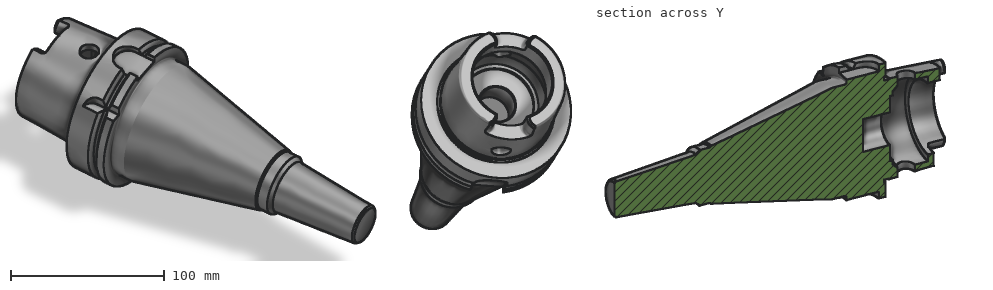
import cadquery as cq
import math

SHANK_FRONT = -50.0
FLANGE_END = 29.0
COLLAR_END = 39.5
CONE_END = 128.7
NECK_START = 129.7
NECK_END = 137.2
NOSE_START = 140.0
NOSE_END = 200.0

GAUGE_RADIUS = 37.9
SHANK_TAPER = 1 / 20
SHANK_EDGE_FILLET = 1.8
RELIEF_WIDTH = 2.4
RELIEF_RADIUS = 37.2
FACE_GROOVE_RADIUS = 39.2
FACE_GROOVE_DEPTH = 1.0

FLANGE_RADIUS = 50.0
V_CENTER = 20.0
V_HALF_WIDTH = 3.3
V_BOTTOM_HALF_WIDTH = 1.2
V_FLANK_ANGLE = 30.0
V_DEPTH = (V_HALF_WIDTH - V_BOTTOM_HALF_WIDTH) / math.tan(math.radians(V_FLANK_ANGLE))

COLLAR_RADIUS = 41.75
COLLAR_FILLET = 1.1
CONE_END_RADIUS = 21.8
NECK_RADIUS = 20.85
NOSE_END_RADIUS = 13.5
NOSE_ANGLE = 4.5
NOSE_CHAMFER_LENGTH = 1.4
NOSE_CHAMFER_DEPTH = 1.0
NOSE_TAPER = math.tan(math.radians(NOSE_ANGLE))
NOSE_START_RADIUS = NOSE_END_RADIUS + (NOSE_END - NOSE_START) * NOSE_TAPER

BORE_RADIUS = 26.5
BORE_CHAMFER = 0.9
BORE_LIP_LENGTH = 19.0
BORE_LIP_END = SHANK_FRONT + BORE_LIP_LENGTH
CLAMP_RADIUS = 31.5
CLAMP_END = -9.8
SHOULDER_RADIUS = 27.0
SHOULDER_X = CLAMP_END + CLAMP_RADIUS - SHOULDER_RADIUS
FLOOR_RADIUS = 24.1
FLOOR_RECESS = 2.0
FLOOR_X = SHOULDER_X + FLOOR_RECESS
TUBE_HOLE_RADIUS = 12.0
TUBE_HOLE_CHAMFER = 0.5
TUBE_HOLE_DEPTH = 20.0

CROSS_HOLE_X = -15.2
CROSS_HOLE_RADIUS = 6.3

KEYWAY_DEPTH_TOP = 10.0
KEYWAY_DEPTH_BOTTOM = 14.5
KEYWAY_HALF_WIDTH = 10.0
KEYWAY_LOBE_RADIUS = 7.4
KEYWAY_LOBE_BASE = 25.2
KEYWAY_LOBE_Y = KEYWAY_HALF_WIDTH + KEYWAY_LOBE_RADIUS
KEYWAY_ROOT = 20.0
KEYWAY_FILLET = 2.5
KEYWAY_CHAMFER = 1.4

SLOT_WIDTH_TOP = 20.0
SLOT_WIDTH_BOTTOM = 22.0
SLOT_START = 5.1
SLOT_FLOOR = 45.0
NOTCH_CORNER = 32.0
NOTCH_RADIUS = 8.0


def shank_radius(x):
    """Radius of the taper at position x."""
    return GAUGE_RADIUS + SHANK_TAPER * x


def revolve_about_x(profile):
    return profile.close().revolve(360, (0, 0, 0), (1, 0, 0))


def turned_body():
    """Outer turned shape, with the relief behind the taper and the V groove."""
    v_bottom = FLANGE_RADIUS - V_DEPTH
    chamfer_radius = NOSE_END_RADIUS + NOSE_CHAMFER_LENGTH * NOSE_TAPER
    profile = (
        cq.Workplane("XY")
        .moveTo(SHANK_FRONT, 0)
        .lineTo(SHANK_FRONT, shank_radius(SHANK_FRONT))
        .lineTo(-RELIEF_WIDTH, shank_radius(-RELIEF_WIDTH))
        .lineTo(-RELIEF_WIDTH, RELIEF_RADIUS)
        .lineTo(FACE_GROOVE_DEPTH, RELIEF_RADIUS)
        .lineTo(FACE_GROOVE_DEPTH, FACE_GROOVE_RADIUS)
        .lineTo(0, FACE_GROOVE_RADIUS)
        .lineTo(0, FLANGE_RADIUS)
        .lineTo(V_CENTER - V_HALF_WIDTH, FLANGE_RADIUS)
        .lineTo(V_CENTER - V_BOTTOM_HALF_WIDTH, v_bottom)
        .lineTo(V_CENTER + V_BOTTOM_HALF_WIDTH, v_bottom)
        .lineTo(V_CENTER + V_HALF_WIDTH, FLANGE_RADIUS)
        .lineTo(FLANGE_END, FLANGE_RADIUS)
        .lineTo(FLANGE_END, COLLAR_RADIUS + COLLAR_FILLET)
        .radiusArc((FLANGE_END + COLLAR_FILLET, COLLAR_RADIUS), -COLLAR_FILLET)
        .lineTo(COLLAR_END, COLLAR_RADIUS)
        .lineTo(CONE_END, CONE_END_RADIUS)
        .lineTo(NECK_START, NECK_RADIUS)
        .lineTo(NECK_END, NECK_RADIUS)
        .lineTo(NOSE_START, NOSE_START_RADIUS)
        .lineTo(NOSE_END - NOSE_CHAMFER_LENGTH, chamfer_radius)
        .lineTo(NOSE_END, NOSE_END_RADIUS - NOSE_CHAMFER_DEPTH)
        .lineTo(NOSE_END, 0)
    )
    body = revolve_about_x(profile)
    return body.faces("<X").edges().fillet(SHANK_EDGE_FILLET)


def clamping_bore():
    """Stepped bore: front lip, wider clamping chamber, recessed floor and coolant tube hole."""
    hole_end = FLOOR_X + TUBE_HOLE_DEPTH
    profile = (
        cq.Workplane("XY")
        .moveTo(SHANK_FRONT, 0)
        .lineTo(SHANK_FRONT, BORE_RADIUS + BORE_CHAMFER)
        .lineTo(SHANK_FRONT + BORE_CHAMFER, BORE_RADIUS)
        .lineTo(BORE_LIP_END, BORE_RADIUS)
        .lineTo(BORE_LIP_END, CLAMP_RADIUS)
        .lineTo(CLAMP_END, CLAMP_RADIUS)
        .lineTo(SHOULDER_X, SHOULDER_RADIUS)
        .lineTo(SHOULDER_X, FLOOR_RADIUS)
        .lineTo(FLOOR_X, FLOOR_RADIUS)
        .lineTo(FLOOR_X, TUBE_HOLE_RADIUS + TUBE_HOLE_CHAMFER)
        .lineTo(FLOOR_X + TUBE_HOLE_CHAMFER, TUBE_HOLE_RADIUS)
        .lineTo(hole_end, TUBE_HOLE_RADIUS)
        .lineTo(hole_end, 0)
    )
    return revolve_about_x(profile)


def cross_hole():
    length = 2 * FLANGE_RADIUS
    return (
        cq.Workplane("XY", origin=(CROSS_HOLE_X, 0, -length / 2))
        .circle(CROSS_HOLE_RADIUS)
        .extrude(length)
    )


def keyway_outline(sketch, widening):
    """Keyway cross-section, its flared walls moved outwards by the widening."""
    half_width = KEYWAY_HALF_WIDTH + widening
    lobe_radius = KEYWAY_LOBE_RADIUS - widening
    lobe_top = KEYWAY_LOBE_BASE + lobe_radius
    return (
        sketch.moveTo(-half_width, KEYWAY_ROOT)
        .lineTo(-half_width, KEYWAY_LOBE_BASE)
        .radiusArc((-KEYWAY_LOBE_Y, lobe_top), -lobe_radius)
        .lineTo(-KEYWAY_LOBE_Y, FLANGE_RADIUS)
        .lineTo(KEYWAY_LOBE_Y, FLANGE_RADIUS)
        .lineTo(KEYWAY_LOBE_Y, lobe_top)
        .radiusArc((half_width, KEYWAY_LOBE_BASE), -lobe_radius)
        .lineTo(half_width, KEYWAY_ROOT)
        .close()
    )


def drive_keyway(depth):
    """Cutter for a keyway on the +Z side: flared walls, filleted floor, chamfered front."""
    front = cq.Workplane("YZ", origin=(SHANK_FRONT, 0, 0))
    slot = keyway_outline(front, 0).extrude(depth)
    floor_edges = slot.faces(">X").edges()
    walls = floor_edges.filter(lambda edge: KEYWAY_ROOT < edge.Center().z < FLANGE_RADIUS)
    inner_walls = walls.filter(lambda edge: abs(edge.Center().y) < KEYWAY_LOBE_Y)
    slot = inner_walls.fillet(KEYWAY_FILLET)
    chamfer_start = keyway_outline(front, KEYWAY_CHAMFER)
    chamfer = keyway_outline(chamfer_start.workplane(offset=KEYWAY_CHAMFER), 0).loft(ruled=True)
    return slot.union(chamfer)


def gripper_slot(width):
    """Cutter for a round-ended slot on the +Z side, open towards +X."""
    half_width = width / 2
    return (
        cq.Workplane("XY", origin=(0, 0, SLOT_FLOOR))
        .moveTo(FLANGE_END, half_width)
        .lineTo(SLOT_START + half_width, half_width)
        .threePointArc((SLOT_START, 0), (SLOT_START + half_width, -half_width))
        .lineTo(FLANGE_END, -half_width)
        .close()
        .extrude(FLANGE_RADIUS)
    )


def orientation_notch():
    """Cutter for the square notch at -Y +Z, its front wall rounded by the end mill."""
    round_end_x = SLOT_START + NOTCH_RADIUS
    round_end_y = -NOTCH_CORNER - NOTCH_RADIUS
    return (
        cq.Workplane("XY", origin=(0, 0, NOTCH_CORNER))
        .moveTo(FLANGE_END, -NOTCH_CORNER)
        .lineTo(round_end_x, -NOTCH_CORNER)
        .radiusArc((SLOT_START, round_end_y), -NOTCH_RADIUS)
        .lineTo(SLOT_START, -FLANGE_RADIUS)
        .lineTo(FLANGE_END, -FLANGE_RADIUS)
        .close()
        .extrude(FLANGE_RADIUS)
    )


def turned_to_minus_z(cutter):
    return cutter.rotate((0, 0, 0), (1, 0, 0), 180)


result = (
    turned_body()
    .cut(clamping_bore())
    .cut(cross_hole())
    .cut(drive_keyway(KEYWAY_DEPTH_TOP))
    .cut(turned_to_minus_z(drive_keyway(KEYWAY_DEPTH_BOTTOM)))
    .cut(gripper_slot(SLOT_WIDTH_TOP))
    .cut(turned_to_minus_z(gripper_slot(SLOT_WIDTH_BOTTOM)))
    .cut(orientation_notch())
)